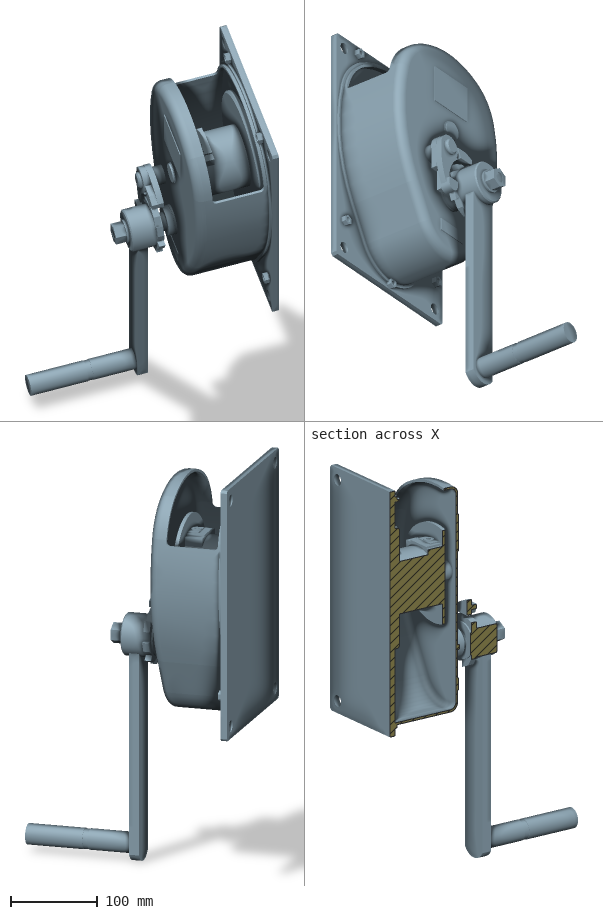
import cadquery as cq
import math


plate_width = 200.0
plate_top = 119.5
plate_height = 300.0
plate_thickness = 7.5
plate_corner = 3.0
plate_middle = plate_top - plate_height / 2
mount_hole_diameter = 14.0
mount_span_x = 170.0
mount_span_z = 270.0

screw_corner_diameter = 12.5
screw_height = 6.0
screw_socket_diameter = 6.0
screw_socket_depth = 2.5
upper_screw_x, upper_screw_z = 60.5, 108.0
lower_screw_x, lower_screw_z = mount_span_x / 2, -130.0
bottom_screw_z = -174.0

half_width = 95.0
side_radius = 208.5
shoulder_radius = 70.0
side_angle = math.radians(14.5)
shoulder_angle = math.radians(60)
flank_angle = math.radians(-28.5)
housing_bottom = -170.0

wall = 3.0
flange_lip = 4.0
housing_depth = 96.7
rim_fillet = 10.5
window_back = 14.5
window_front = 76.5
window_sill = 45.0
window_corner = 5.0

drum_diameter = 73.8
drum_rear_flange_diameter = 152.5
drum_rear_flange_thickness = 6.0
drum_rear_flange_chamfer = 2.5
drum_front_flange_diameter = 120.5
drum_front_flange_thickness = 4.5
drum_front = 74.5
drum_shaft_diameter = 22.5
shaft_collar_diameter = 25.0
shaft_collar_height = 1.0
shaft_end_height = 3.1
clamp_width = 48.0
clamp_back = 53.5
clamp_top = 38.5
clamp_saddle_width = 30.5
clamp_saddle_height = 2.5
clamp_pad_width = 22.5
clamp_pad_back = 62.5
clamp_pad_height = 1.5
clamp_screw_diameter = 12.5
clamp_screw_height = 1.5
clamp_screw_depth = 68.0
clamp_socket_diameter = 6.0

badge_height = 1.0
name_badge_size = (60.5, 46.0)
name_badge_centre = (0, 50.5)
small_badge_size = (41.0, 15.5)
small_badge_centre = (2.0, -134.5)

crank_z = -89.5
bearing_base_diameter = 36.0
bearing_base_height = 2.5
bearing_diameter = 35.0
bearing_front = 107.0
neck_diameter = 22.0
shoulder_diameter = 45.0
shoulder_back = 114.0
ratchet_back, ratchet_front = 116.0, 123.5
ratchet_teeth = 8
ratchet_tip_radius = 33.5
ratchet_back_radius = 30.5
ratchet_root_radius = 26.0
hub_diameter = 50.5
hub_front = 153.0
hub_chamfer = 1.5
washer_diameter = 28.0
washer_front = 155.5
nut_corner_diameter = 25.0
nut_front = 168.5
nut_bore_diameter = 12.5
nut_bore_depth = 1.0

pivot_x, pivot_z = -37.0, -50.0
pivot_boss_diameter = 22.5
pivot_head_diameter = 19.0
pivot_head_front = 128.5
pivot_head_chamfer = 2.0
pawl_back, pawl_front = 109.0, 116.5
pawl_radius = 16.0
pawl_tip_x, pawl_tip_top, pawl_tip_bottom = 5.7, -46.5, -53.5
pawl_crest_drop = 1.0
pawl_tooth_heel_x = -15.0
pawl_tooth_top = -42.0
pawl_tooth_slope = 5.7
pawl_tail_width = 9.5
pawl_tail_end = -80.0
spring_width = 7.0
spring_back = 110.5
spring_end = -106.0
lever_front = 124.0
lever_radius = 15.5
lever_inner_radius = 37.5
lever_inner_start = math.radians(125)
lever_outer_bulge_x, lever_outer_bulge_z = -50.5, -79.5
lever_end_z = -99.5
lever_foot_left, lever_foot_right = -43.0, -28.0
lever_foot_top, lever_foot_bottom = -94.5, -108.5
lever_foot_front = 129.0
lever_foot_fillet = 7.0

arm_width = 35.0
arm_back = 132.0
arm_thickness = 12.0
arm_end_radius = 20.0
arm_bottom = plate_top - 479
handle_diameter = 25.0
handle_front = 271.5
handle_groove_diameter = 24.0
handle_groove_back = 196.5
handle_groove_width = 6.0


def at_depth(depth):
    """Workplane parallel to the wall at a depth; its local axes are X and Z."""
    return cq.Workplane("XZ", origin=(0, -depth, 0))


def disc(x, z, diameter, back, front):
    return at_depth(back).center(x, z).circle(diameter / 2).extrude(front - back)


def block(left, right, bottom, top, back, front):
    size = (right - left, front - back, top - bottom)
    return cq.Workplane().box(*size, centered=False).translate((left, -front, bottom))


def hexagon(x, z, corner_diameter, back, front):
    """Hexagonal prism with one corner pointing straight up."""
    prism = at_depth(back).polygon(6, corner_diameter).extrude(front - back)
    return prism.rotate((0, 0, 0), (0, 1, 0), 90).translate((x, 0, z))


def on_arc(centre, radius, angle):
    return (centre[0] + radius * math.cos(angle), centre[1] + radius * math.sin(angle))


def housing_prism(offset, back, front):
    """Solid of the housing outline, grown by offset."""
    side_centre = (half_width - side_radius, 0)
    shoulder_centre = on_arc(side_centre, side_radius - shoulder_radius, side_angle)
    top_centre_z = shoulder_centre[1] - shoulder_centre[0] * math.tan(shoulder_angle)
    top_centre = (0, top_centre_z)
    top_radius = shoulder_radius + shoulder_centre[0] / math.cos(shoulder_angle)
    flank_distance = side_radius + side_centre[0] * math.cos(flank_angle)
    bottom_centre_z = (flank_distance + housing_bottom) / (math.sin(flank_angle) + 1)
    bottom_centre = (0, bottom_centre_z)
    bottom_radius = bottom_centre_z - housing_bottom

    def point(centre, radius, angle):
        return on_arc(centre, radius + offset, angle)

    def mirrored(p):
        return (-p[0], p[1])

    top = point(top_centre, top_radius, math.pi / 2)
    top_end = point(top_centre, top_radius, shoulder_angle)
    shoulder_mid = point(shoulder_centre, shoulder_radius, (shoulder_angle + side_angle) / 2)
    side_start = point(side_centre, side_radius, side_angle)
    side_mid = point(side_centre, side_radius, 0)
    side_end = point(side_centre, side_radius, flank_angle)
    bottom_start = point(bottom_centre, bottom_radius, flank_angle)
    bottom = point(bottom_centre, bottom_radius, -math.pi / 2)
    outline = (
        at_depth(back)
        .moveTo(*mirrored(top_end))
        .threePointArc(top, top_end)
        .threePointArc(shoulder_mid, side_start)
        .threePointArc(side_mid, side_end)
        .lineTo(*bottom_start)
        .threePointArc(bottom, mirrored(bottom_start))
        .lineTo(*mirrored(side_end))
        .threePointArc(mirrored(side_mid), mirrored(side_start))
        .threePointArc(mirrored(shoulder_mid), mirrored(top_end))
        .close()
    )
    return outline.extrude(front - back)


def make_plate():
    plate = (
        at_depth(0)
        .center(0, plate_middle)
        .rect(plate_width, plate_height)
        .extrude(plate_thickness)
        .edges("|Y")
        .chamfer(plate_corner)
    )
    holes = (
        at_depth(0)
        .center(0, plate_middle)
        .rect(mount_span_x, mount_span_z, forConstruction=True)
        .vertices()
        .circle(mount_hole_diameter / 2)
        .extrude(plate_thickness)
    )
    return plate.cut(holes)


def make_screw(x, z):
    front = plate_thickness + screw_height
    head = hexagon(x, z, screw_corner_diameter, plate_thickness, front)
    return head.cut(disc(x, z, screw_socket_diameter, front - screw_socket_depth, front))


def make_housing():
    """Hollow shell, open at the wall and through a window across the top."""
    shell = housing_prism(0, plate_thickness, housing_depth).faces("<Y").edges().fillet(rim_fillet)
    shell = shell.union(housing_prism(flange_lip, plate_thickness, plate_thickness + wall))
    cavity = housing_prism(-wall, plate_thickness, housing_depth - wall)
    shell = shell.cut(cavity.faces("<Y").edges().fillet(rim_fillet - wall))
    window = block(-plate_width, plate_width, window_sill, plate_top, window_back, window_front)
    return shell.cut(window.edges("|X and <Z").fillet(window_corner))


def make_drum():
    drum = disc(0, 0, drum_diameter, plate_thickness, drum_front)
    rear_flange_end = plate_thickness + drum_rear_flange_thickness
    rear_flange = disc(0, 0, drum_rear_flange_diameter, plate_thickness, rear_flange_end)
    drum = drum.union(rear_flange.faces("<Y").edges().chamfer(drum_rear_flange_chamfer))
    front_flange_end = drum_front + drum_front_flange_thickness
    drum = drum.union(disc(0, 0, drum_front_flange_diameter, drum_front, front_flange_end))
    shaft = disc(0, 0, drum_shaft_diameter, drum_front, housing_depth + shaft_end_height)
    collar_front = housing_depth + shaft_collar_height
    collar = disc(0, 0, shaft_collar_diameter, housing_depth, collar_front)
    return drum.union(shaft).union(collar)


def make_rope_clamp():
    """Clamp on top of the drum, against its front flange."""
    half_base = clamp_width / 2
    half_saddle = clamp_saddle_width / 2
    saddle_top = clamp_top + clamp_saddle_height
    clamp = block(-half_base, half_base, 0, clamp_top, clamp_back, drum_front)
    clamp = clamp.union(block(-half_saddle, half_saddle, 0, saddle_top, clamp_back, drum_front))
    half_pad = clamp_pad_width / 2
    pad_top = saddle_top + clamp_pad_height
    clamp = clamp.union(block(-half_pad, half_pad, 0, pad_top, clamp_pad_back, drum_front))
    seat = cq.Workplane("XY", origin=(0, -clamp_screw_depth, pad_top))
    screw = seat.circle(clamp_screw_diameter / 2).circle(clamp_socket_diameter / 2)
    return clamp.union(screw.extrude(clamp_screw_height))


def make_badge(size, centre):
    return at_depth(housing_depth).center(*centre).rect(*size).extrude(badge_height)


def make_ratchet():
    """Saw-tooth wheel; each tooth has a radial face and a sloping back."""
    pitch = 2 * math.pi / ratchet_teeth
    points = []
    for tooth in range(ratchet_teeth):
        angle = tooth * pitch
        points.append(on_arc((0, crank_z), ratchet_tip_radius, angle))
        points.append(on_arc((0, crank_z), ratchet_root_radius, angle))
        points.append(on_arc((0, crank_z), ratchet_back_radius, angle + pitch / 2))
    return at_depth(ratchet_back).polyline(points).close().extrude(ratchet_front - ratchet_back)


def make_crank_shaft():
    bearing_base_front = housing_depth + bearing_base_height
    shaft = disc(0, crank_z, bearing_base_diameter, housing_depth, bearing_base_front)
    shaft = shaft.union(disc(0, crank_z, bearing_diameter, bearing_base_front, bearing_front))
    shaft = shaft.union(disc(0, crank_z, neck_diameter, bearing_front, ratchet_back))
    shaft = shaft.union(disc(0, crank_z, shoulder_diameter, shoulder_back, ratchet_back))
    hub = disc(0, crank_z, hub_diameter, ratchet_front, hub_front)
    shaft = shaft.union(hub.faces("<Y").edges().chamfer(hub_chamfer))
    shaft = shaft.union(disc(0, crank_z, washer_diameter, hub_front, washer_front))
    nut = hexagon(0, crank_z, nut_corner_diameter, washer_front, nut_front)
    nut = nut.cut(disc(0, crank_z, nut_bore_diameter, nut_front - nut_bore_depth, nut_front))
    return shaft.union(nut).union(make_ratchet())


def make_pivot():
    boss = disc(pivot_x, pivot_z, pivot_boss_diameter, housing_depth, lever_front)
    head = disc(pivot_x, pivot_z, pivot_head_diameter, lever_front, pivot_head_front)
    return boss.union(head.faces("<Y").edges().chamfer(pivot_head_chamfer))


def make_pawl():
    """Pawl with a finger over the ratchet, a tail and its spring."""
    thickness = pawl_front - pawl_back
    pawl = disc(pivot_x, pivot_z, 2 * pawl_radius, pawl_back, pawl_front)
    finger_crest = (pivot_x / 2, pivot_z + pawl_radius - pawl_crest_drop)
    finger = (
        at_depth(pawl_back)
        .moveTo(pivot_x, pivot_z + pawl_radius)
        .threePointArc(finger_crest, (pawl_tip_x, pawl_tip_top))
        .lineTo(pawl_tip_x, pawl_tip_bottom)
        .lineTo(pivot_x, pawl_tip_bottom)
        .close()
        .extrude(thickness)
    )
    tooth = (
        at_depth(pawl_front)
        .moveTo(pawl_tooth_heel_x, pawl_tip_bottom)
        .lineTo(pawl_tip_x, pawl_tip_bottom)
        .lineTo(pawl_tip_x, pawl_tip_top)
        .lineTo(pawl_tip_x - 2 * pawl_tooth_slope, pawl_tooth_top)
        .lineTo(pawl_tooth_heel_x - pawl_tooth_slope, pawl_tooth_top)
        .close()
        .extrude(ratchet_front - pawl_front)
    )
    left = pivot_x - lever_radius
    tail_right = left + pawl_tail_width
    tail = block(left, tail_right, pawl_tail_end, pivot_z, pawl_back, pawl_front)
    spring_right = lever_foot_left + spring_width
    spring = block(lever_foot_left, spring_right, spring_end, pivot_z, spring_back, pawl_front)
    return pawl.union(finger).union(tooth).union(tail).union(spring)


def make_lever():
    """Lever hanging beside the ratchet wheel, ending in a thick foot."""
    lever = disc(pivot_x, pivot_z, 2 * lever_radius, pawl_front, lever_front)
    left = pivot_x - lever_radius
    inner_top = on_arc((0, crank_z), lever_inner_radius, lever_inner_start)
    inner_mid = on_arc((0, crank_z), lever_inner_radius, (lever_inner_start + math.pi) / 2)
    inner_end = (-lever_inner_radius, crank_z)
    outer_mid = (lever_outer_bulge_x, lever_outer_bulge_z)
    arm = (
        at_depth(pawl_front)
        .moveTo(left, pivot_z)
        .threePointArc(outer_mid, (lever_foot_left, lever_end_z))
        .lineTo(-lever_inner_radius, lever_end_z)
        .lineTo(*inner_end)
        .threePointArc(inner_mid, inner_top)
        .lineTo(pivot_x, pivot_z)
        .close()
        .extrude(lever_front - pawl_front)
    )
    foot = block(
        lever_foot_left, lever_foot_right, lever_foot_bottom, lever_foot_top, pawl_front, lever_foot_front
    )
    return lever.union(arm).union(foot.edges("|Y and <Z").fillet(lever_foot_fillet))


def make_crank():
    arm_front = arm_back + arm_thickness
    handle_z = arm_bottom + arm_end_radius
    half = arm_width / 2
    end_rise = math.sqrt(arm_end_radius**2 - half**2)
    arm = (
        at_depth(arm_back)
        .moveTo(-half, crank_z)
        .lineTo(-half, handle_z - end_rise)
        .threePointArc((0, arm_bottom), (half, handle_z - end_rise))
        .lineTo(half, crank_z)
        .close()
        .extrude(arm_thickness)
    )
    groove_front = handle_groove_back + handle_groove_width
    handle = disc(0, handle_z, handle_diameter, arm_front, handle_groove_back)
    groove = disc(0, handle_z, handle_groove_diameter, handle_groove_back, groove_front)
    grip = disc(0, handle_z, handle_diameter, groove_front, handle_front)
    return arm.union(handle).union(groove).union(grip)


result = make_plate().union(make_housing()).union(make_drum()).union(make_rope_clamp())
for side in (-1, 1):
    result = result.union(make_screw(side * upper_screw_x, upper_screw_z))
    result = result.union(make_screw(side * lower_screw_x, lower_screw_z))
result = result.union(make_screw(0, bottom_screw_z))
result = result.union(make_badge(name_badge_size, name_badge_centre))
result = result.union(make_badge(small_badge_size, small_badge_centre))
result = result.union(make_crank_shaft()).union(make_pivot()).union(make_pawl())
result = result.union(make_lever()).union(make_crank())